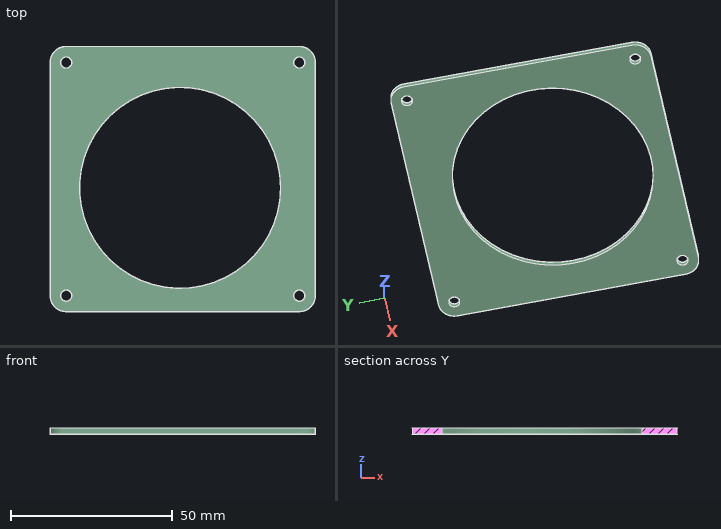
import cadquery as cq

side = 82.0
thickness = 2.0
corner_radius = 5.0

mount_hole_diameter = 3.4
mount_hole_spacing = side - 2 * corner_radius

opening_diameter = 62.0
opening_x = -0.8
opening_y = -2.7

plate = (
    cq.Workplane("XY")
    .rect(side, side)
    .extrude(thickness)
    .edges("|Z")
    .fillet(corner_radius)
)

mount_holes = (
    cq.Workplane("XY")
    .rect(mount_hole_spacing, mount_hole_spacing, forConstruction=True)
    .vertices()
    .circle(mount_hole_diameter / 2)
    .extrude(thickness)
)

opening = (
    cq.Workplane("XY")
    .center(opening_x, opening_y)
    .circle(opening_diameter / 2)
    .extrude(thickness)
)

result = plate.cut(mount_holes).cut(opening)